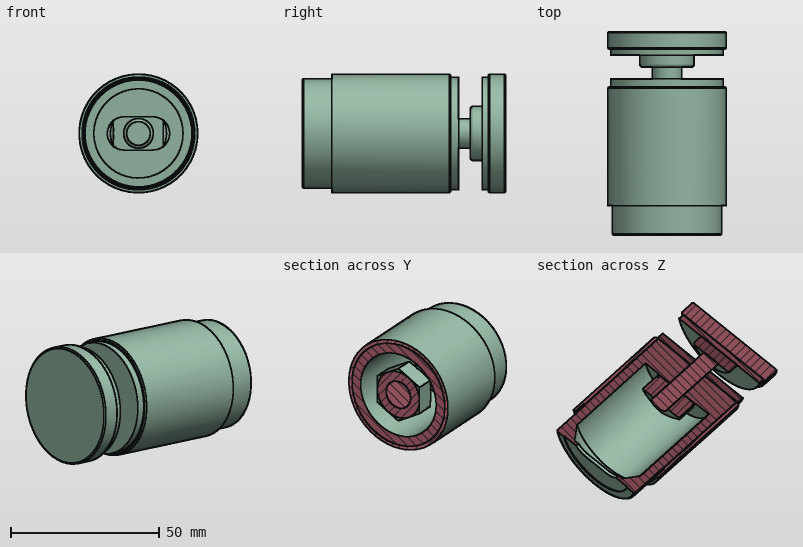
import cadquery as cq
import math

OUTER_DIA = 40.0
GASKET_DIA = 38.0
THREAD_DIA = 10.0
EDGE_CHAMFER = 0.5

SLEEVE_START = 10.0
SLEEVE_END = 50.0
GASKET_END = 52.7
BUSHING_START = 56.6
PAD_START = 60.65
CAP_START = 62.6
CAP_END = 68.6

CORE_DIA = 37.0
RECESS_DIA = 30.05
RECESS_DEPTH = 0.3
SLOT_LENGTH = 21.0
SLOT_WIDTH = 11.2
SLOT_FLOOR = 1.25

CAVITY_RADIUS = RECESS_DIA / 2
CONE_DEPTH = 5.0
CONE_WIDTH = 3.5
CAVITY_START = RECESS_DEPTH + SLOT_FLOOR
CAVITY_END = 40.0

GAP_DIA = GASKET_DIA
GAP_DEPTH = 4.0

NUT_FLATS = 16.9
NUT_HEIGHT = 8.0
NUT_CHAMFER_ANGLE = 15
FOOT_FLARE = 1.0
NUT_START = CAVITY_END - NUT_HEIGHT

STUD_TIP_OUT = 2.0
STUD_CHAMFER = 1.0
STUD_START = NUT_START - STUD_TIP_OUT
BUSHING_DIA = 18.4
BUSHING_FILLET = 1.1


def cylinder(diameter, start, end):
    """Solid cylinder on the Y axis between two stations."""
    return cq.Workplane("XZ", origin=(0, start, 0)).circle(diameter / 2).extrude(start - end)


def revolve_about_y(profile):
    """Full revolution of a closed (radius, Y) profile about the Y axis."""
    return profile.close().revolve(360, (0, 0, 0), (0, 1, 0))


def make_cap():
    return cylinder(OUTER_DIA, CAP_START, CAP_END).edges().chamfer(EDGE_CHAMFER)


def make_pad():
    return cylinder(GASKET_DIA, PAD_START, CAP_START)


def make_bushing():
    bushing = cylinder(BUSHING_DIA, BUSHING_START, PAD_START)
    return bushing.faces("<Y").edges().fillet(BUSHING_FILLET)


def make_stud():
    stud = cylinder(THREAD_DIA, STUD_START, BUSHING_START)
    return stud.faces("<Y").edges().chamfer(STUD_CHAMFER)


def make_gasket():
    stud_hole = cylinder(THREAD_DIA, SLEEVE_END, GASKET_END)
    return cylinder(GASKET_DIA, SLEEVE_END, GASKET_END).cut(stud_hole)


def make_sleeve():
    gap_end = SLEEVE_START + GAP_DEPTH
    sleeve = cylinder(OUTER_DIA, SLEEVE_START, SLEEVE_END)
    sleeve = sleeve.faces(">Y").edges().chamfer(EDGE_CHAMFER)
    gap = cylinder(GAP_DIA, SLEEVE_START, gap_end)
    bore = cylinder(CORE_DIA, gap_end, SLEEVE_END)
    return sleeve.cut(gap).cut(bore)


def make_cavity():
    return revolve_about_y(
        cq.Workplane("XY")
        .moveTo(0, CAVITY_START)
        .lineTo(CAVITY_RADIUS - CONE_WIDTH, CAVITY_START)
        .lineTo(CAVITY_RADIUS, CAVITY_START + CONE_DEPTH)
        .lineTo(CAVITY_RADIUS, CAVITY_END)
        .lineTo(0, CAVITY_END)
    )


def make_core():
    core = cylinder(CORE_DIA, 0, SLEEVE_END).faces("<Y").edges().chamfer(EDGE_CHAMFER)
    recess = cylinder(RECESS_DIA, 0, RECESS_DEPTH)
    slot = cq.Workplane("XZ").slot2D(SLOT_LENGTH, SLOT_WIDTH).extrude(-CAVITY_START)
    stud_hole = cylinder(THREAD_DIA, CAVITY_END, SLEEVE_END)
    return core.cut(recess).cut(slot).cut(make_cavity()).cut(stud_hole)


def make_nut():
    flats_radius = NUT_FLATS / 2
    corner_radius = flats_radius / math.cos(math.pi / 6)
    chamfer_depth = (corner_radius - flats_radius) * math.tan(math.radians(NUT_CHAMFER_ANGLE))
    hexagon_end = CAVITY_END - FOOT_FLARE

    hexagon = (
        cq.Workplane("XZ", origin=(0, NUT_START, 0))
        .transformed(rotate=(0, 0, 30))
        .polygon(6, 2 * corner_radius)
        .extrude(NUT_START - hexagon_end)
    )

    blank = revolve_about_y(
        cq.Workplane("XY")
        .moveTo(0, NUT_START)
        .lineTo(flats_radius, NUT_START)
        .lineTo(corner_radius, NUT_START + chamfer_depth)
        .lineTo(corner_radius, hexagon_end)
        .lineTo(0, hexagon_end)
    )

    foot = revolve_about_y(
        cq.Workplane("XY")
        .moveTo(0, hexagon_end)
        .lineTo(flats_radius, hexagon_end)
        .radiusArc((flats_radius + FOOT_FLARE, CAVITY_END), -FOOT_FLARE)
        .lineTo(0, CAVITY_END)
    )
    stud_hole = cylinder(THREAD_DIA, NUT_START, CAVITY_END)
    return hexagon.intersect(blank).union(foot).cut(stud_hole)


cap = make_cap()
pad = make_pad()
bushing = make_bushing()
stud = make_stud()
nut = make_nut()
gasket = make_gasket()
sleeve = make_sleeve()
core = make_core()

result = cq.Compound.makeCompound(
    [body.val() for body in (cap, pad, bushing, stud, nut, gasket, sleeve, core)]
)